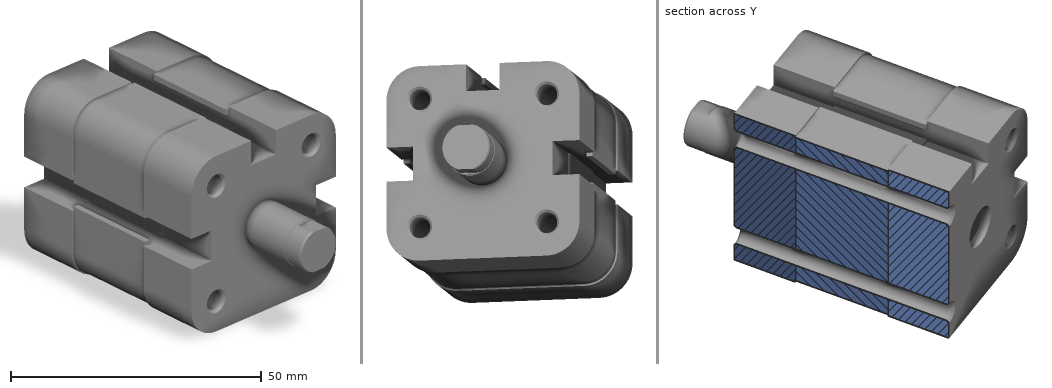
import cadquery as cq


total_length = 65.0
cap_length = 14.0
barrel_length = 21.0
cap_side = 39.5
barrel_inset = 0.4
barrel_side = cap_side - 2 * barrel_inset

front_cap_start = cap_length + barrel_length
body_length = front_cap_start + cap_length
rod_length = total_length - body_length

bolt_pitch = 26.0
bolt_diameter = 4.2
countersink_diameter = 5.2
cap_corner_radius = (cap_side - bolt_pitch) / 2
barrel_corner_radius = cap_corner_radius - barrel_inset

slot_angles = (0, 90, -90)
slot_width = 6.9
cap_slot_depth = 5.45
barrel_slot_floor = cap_side / 2 - 5.0
lip_overhang = 0.8
lip_thickness = 1.3
lip_gap = slot_width - 2 * lip_overhang

recess_diameter = 9.0
recess_depth = 2.0

rod_diameter = 10.0
rod_end_diameter = 9.8
rod_end_length = 4.5
tip_chamfer_length = 0.4
tip_chamfer_height = 0.2
flat_spacing = 9.0
flat_length = 4.0


def square_block(side, corner_radius, start, length):
    """Rounded square prism along X."""
    block = cq.Workplane("YZ", origin=(start, 0, 0)).rect(side, side).extrude(length)
    return block.edges("|X").fillet(corner_radius)


def cut_slots(body, width, bottom, top, start, length):
    """Cut one rectangular channel between two heights on each slotted side."""
    channel = cq.Workplane("XY").box(length, width, top - bottom, centered=(False, True, False))
    channel = channel.translate((start, 0, bottom))
    for angle in slot_angles:
        body = body.cut(channel.rotate((0, 0, 0), (1, 0, 0), angle))
    return body


def cut_bolt_holes(body, start, length):
    """Cut the four bolt holes through a body."""
    holes = cq.Workplane("YZ", origin=(start, 0, 0)).rect(bolt_pitch, bolt_pitch, forConstruction=True)
    return body.cut(holes.vertices().circle(bolt_diameter / 2).extrude(length))


def make_cap():
    """End cap with its outer, countersunk face at X = 0."""
    cap = square_block(cap_side, cap_corner_radius, 0, cap_length)
    cap = cut_slots(cap, slot_width, cap_side / 2 - cap_slot_depth, cap_side / 2, 0, cap_length)
    cap = cut_bolt_holes(cap, 0, cap_length)
    countersink_depth = (countersink_diameter - bolt_diameter) / 2
    bolt_offset = bolt_pitch / 2
    for y in (-bolt_offset, bolt_offset):
        for z in (-bolt_offset, bolt_offset):
            cone = cq.Solid.makeCone(
                countersink_diameter / 2,
                bolt_diameter / 2,
                countersink_depth,
                pnt=cq.Vector(0, y, z),
                dir=cq.Vector(1, 0, 0),
            )
            cap = cap.cut(cq.Workplane(cone))
    return cap


def make_rear_cap():
    """Cap with a blind centring recess in its outer face."""
    recess = cq.Workplane("YZ").circle(recess_diameter / 2).extrude(recess_depth)
    return make_cap().cut(recess)


def make_front_cap():
    """Cap turned end for end, so that its countersunk face points to +X."""
    return make_cap().mirror("YZ").translate((body_length, 0, 0))


def make_barrel():
    """Barrel with lipped slots that are shallower than the slots of the caps."""
    half_side = barrel_side / 2
    lip_underside = half_side - lip_thickness
    barrel = square_block(barrel_side, barrel_corner_radius, cap_length, barrel_length)
    barrel = cut_slots(barrel, slot_width, barrel_slot_floor, lip_underside, cap_length, barrel_length)
    barrel = cut_slots(barrel, lip_gap, lip_underside, half_side, cap_length, barrel_length)
    return cut_bolt_holes(barrel, cap_length, barrel_length)


def make_rod():
    """Rod standing on the front cap, with a chamfered tip and flats on the +Z and -Z sides of its end."""
    shank_length = rod_length - rod_end_length
    rod = cq.Workplane("YZ", origin=(body_length, 0, 0)).circle(rod_diameter / 2).extrude(shank_length)
    rod = rod.faces(">X").workplane().circle(rod_end_diameter / 2).extrude(rod_end_length)
    rod = rod.faces(">X").chamfer(tip_chamfer_length, tip_chamfer_height)
    flat_cutter = cq.Workplane("XY").box(
        flat_length, rod_diameter, rod_diameter, centered=(False, True, False)
    )
    flat_cutter = flat_cutter.translate((total_length - flat_length, 0, flat_spacing / 2))
    return rod.cut(flat_cutter).cut(flat_cutter.mirror("XY"))


rear_cap = make_rear_cap()
barrel = make_barrel()
front_cap = make_front_cap()
rod = make_rod()

result = cq.Compound.makeCompound([rear_cap.val(), barrel.val(), front_cap.val(), rod.val()])